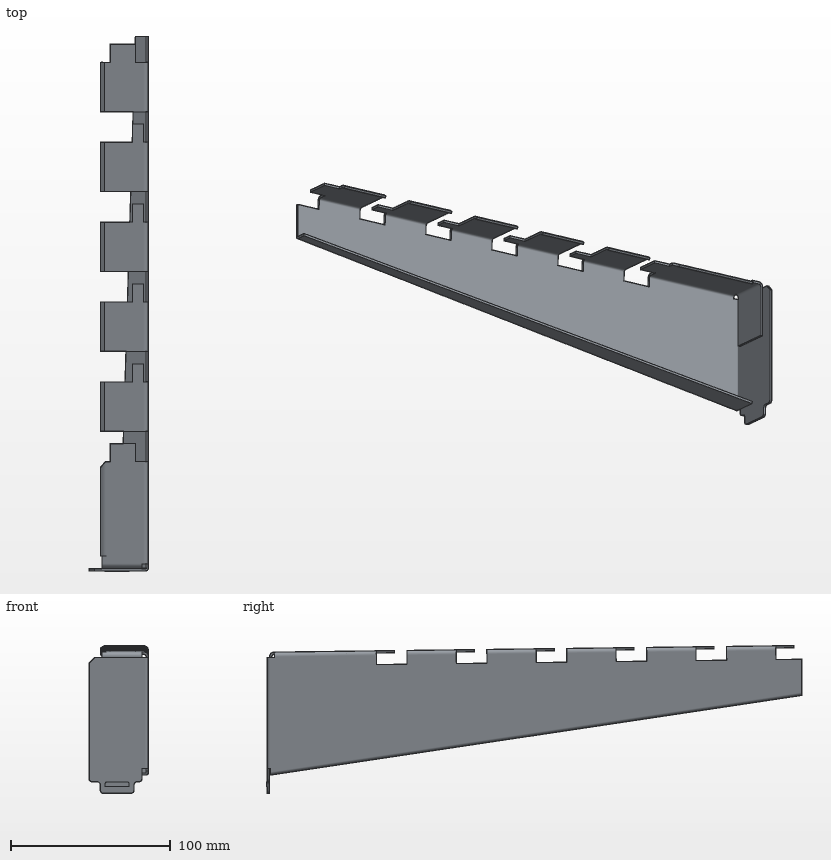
import cadquery as cq
import math

SHEET = 1.5
OVERALL_X = 37.2
ARM_END_Y = 334.9
OVERALL_Z = 92.56

TOP_BEND = 3.0
SIDE_BEND = 2.0
BOTTOM_BEND = 1.7

FOLD_OVERLAP = 1.0

BEAD_HEIGHT = 0.25
PLATE_FRONT_Y = BEAD_HEIGHT
PLATE_BACK_Y = PLATE_FRONT_Y + SHEET
PLATE_TOP_Z = 85.1
PLATE_BOTTOM_Z = 7.2
PLATE_CORNER_CUT = 3.5
PLATE_EDGE_RADIUS = 2.0
PLATE_RELIEF_X = -4.0
PLATE_RELIEF_Z = 15.5
PLATE_CENTRE_X = -19.6
FOOT_WIDTH = 21.2
BEAD_WIDTH = 15.0
BEAD_BOTTOM_Z = 4.2
BEAD_CORNER_RADIUS = 1.3
PLATE_HOLE_DIAMETER = 10.8
PLATE_HOLE_Z = 30.6
PLATE_SLOT_Z = 69.5
PLATE_SLOT_LENGTH = 19.2

FLANGE_RISE = 0.72
TAB_COUNT = 6
TAB_PITCH = 50.0
LAST_TAB_START_Y = 68.7
TAB_LENGTH = 31.0
NOTCH_DEPTH = 8.6
TONGUE_LENGTH = 11.3
OUTER_TONGUE_X = (-24.0, -8.0)
INNER_TONGUE_X = (-10.0, -TOP_BEND)
FLANGE_EDGE_X = -29.2

LIP_ANGLE = 30.0
LIP_FOLD_X = -27.65
LIP_EDGE_X = -30.1
LIP_STRIP_X = LIP_FOLD_X + 2 * SHEET
LIP_BEND = 4.0
LAST_LIP_END_Y = 9.6
LIP_CORNER_CUT = (3.1, 3.6)

FLAP_X = (FLANGE_EDGE_X, -4.0)
FLAP_BOTTOM_Z = 53.3

BOTTOM_SLOPE = 0.15
BOTTOM_Z_AT_PLATE = 11.04
BOTTOM_END_Y = 2.4
BOTTOM_WIDTH_AT_PLATE = 18.3
BOTTOM_TAPER = 0.03

TAB_SLOT_X = -15.75
TAB_SLOT_WIDTH = 7.0
TAB_SLOT_LENGTH = 23.0
TAB_SLOT_INSET = 3.2
BENT_SLOT_LEAD = 7.3
BENT_SLOT_SHIFT = 4.0
TIP_SLOT_LEG = 22.0
LAST_SLOT_LEG = 32.3
WEB_HOLE_DIAMETER = 8.0
WEB_HOLE_DEPTH = 20.4
WEB_HOLES_Y = (105.9, 305.5)

TIP_TAB_START_Y = LAST_TAB_START_Y + (TAB_COUNT - 1) * TAB_PITCH
TONGUE_END_Y = TIP_TAB_START_Y + TONGUE_LENGTH
RISE_ANGLE = math.radians(FLANGE_RISE)
RISE = math.tan(RISE_ANGLE)
FLANGE_TOP_AT_PLATE = OVERALL_Z - TONGUE_END_Y * RISE
FLAP_BEND_Y = PLATE_BACK_Y + TOP_BEND
FLANGE_END_Y = (FLAP_BEND_Y - TOP_BEND * math.sin(RISE_ANGLE)) / math.cos(RISE_ANGLE)
FLAP_BEND_Z = FLANGE_TOP_AT_PLATE + FLANGE_END_Y * math.sin(RISE_ANGLE) - TOP_BEND * math.cos(RISE_ANGLE)
BOTTOM_ANGLE = math.degrees(math.atan(BOTTOM_SLOPE))


def tilted(body):
    """Takes a body from the flange frame (flange top at Z = 0) to its place on the arm."""
    return body.rotate((0, 0, 0), (1, 0, 0), FLANGE_RISE).translate((0, 0, FLANGE_TOP_AT_PLATE))


def box(x_range, y_range, z_range):
    size = [abs(b - a) for a, b in (x_range, y_range, z_range)]
    low = [min(pair) for pair in (x_range, y_range, z_range)]
    return cq.Workplane("XY").box(*size, centered=False).translate(tuple(low))


def along_y(profile, y_start, y_end):
    """Extrudes an XZ profile between two Y positions."""
    return profile.extrude(y_start - y_end).translate((0, y_start, 0))


def corner_profile(plane, depth, reach, radius):
    """Bent sheet: outer corner at the origin, one leg towards -X, one leg downwards."""
    inner = max(radius - SHEET, 0)
    diagonal = math.sqrt(0.5)
    outer_mid = radius * (1 - diagonal)
    inner_mid = radius - inner * diagonal
    return (
        cq.Workplane(plane)
        .moveTo(-reach, 0)
        .lineTo(-radius, 0)
        .threePointArc((-outer_mid, -outer_mid), (0, -radius))
        .lineTo(0, -depth)
        .lineTo(-SHEET, -depth)
        .lineTo(-SHEET, -radius)
        .threePointArc((-inner_mid, -inner_mid), (-radius, -SHEET))
        .lineTo(-reach, -SHEET)
        .close()
    )


def lip_body(y_start, y_end, rounded):
    """Lip with the strip of flange it hangs from, with a sharp or a rounded fold."""
    angle = math.radians(LIP_ANGLE)
    run = LIP_FOLD_X - LIP_EDGE_X
    drop = run * math.tan(angle)
    inner_shift = SHEET * math.tan(angle / 2)
    tip_in = (LIP_EDGE_X + SHEET * math.sin(angle), -drop - SHEET * math.cos(angle))
    outline = cq.Workplane("XZ").moveTo(LIP_STRIP_X, 0)
    if not rounded:
        outline = outline.lineTo(LIP_FOLD_X, 0).lineTo(LIP_EDGE_X, -drop).lineTo(*tip_in)
        outline = outline.lineTo(LIP_FOLD_X + inner_shift, -SHEET)
    else:
        tangent_x = LIP_FOLD_X + LIP_BEND * math.tan(angle / 2)

        def on_arc(radius, turn):
            return (tangent_x - radius * math.sin(turn), radius * math.cos(turn) - LIP_BEND)

        inner = LIP_BEND - SHEET
        outline = outline.lineTo(tangent_x, 0)
        outline = outline.threePointArc(on_arc(LIP_BEND, angle / 2), on_arc(LIP_BEND, angle))
        outline = outline.lineTo(LIP_EDGE_X, -drop).lineTo(*tip_in).lineTo(*on_arc(inner, angle))
        outline = outline.threePointArc(on_arc(inner, angle / 2), on_arc(inner, 0))
    outline = outline.lineTo(LIP_STRIP_X, -SHEET).close()
    return along_y(outline, y_start, y_end)


def tab_starts():
    return [LAST_TAB_START_Y + index * TAB_PITCH for index in range(TAB_COUNT)]


def upper_arm():
    """Web and tabbed top flange with lips and tongues, in the flange frame."""
    profile = corner_profile("XZ", OVERALL_Z, -LIP_STRIP_X, TOP_BEND)
    body = along_y(profile, FLANGE_END_Y, ARM_END_Y + SHEET)
    for start in tab_starts():
        gap_end = start + TAB_PITCH - TAB_LENGTH
        body = body.cut(box((-OVERALL_X, SHEET), (start, gap_end), (-NOTCH_DEPTH, SHEET)))
    for start in tab_starts():
        outer = start in (LAST_TAB_START_Y, TIP_TAB_START_Y)
        tongue_x = OUTER_TONGUE_X if outer else INNER_TONGUE_X
        tongue_y = (start - SHEET, start + TONGUE_LENGTH)
        body = body.union(box(tongue_x, tongue_y, (-SHEET, 0)))
        if start == LAST_TAB_START_Y:
            lip = lip_body(LAST_LIP_END_Y, start, rounded=True).cut(lip_corner(start))
        else:
            lip = lip_body(start - TAB_LENGTH, start, rounded=False)
        body = body.union(lip)
    plain_edge = box((FLANGE_EDGE_X, LIP_STRIP_X), (FLANGE_END_Y, LAST_LIP_END_Y), (-SHEET, 0))
    return body.union(plain_edge)


def lip_corner(start):
    """Corner cut off the tip-side end of the last lip."""
    across, along = LIP_CORNER_CUT
    return (
        cq.Workplane("XY")
        .polyline([(LIP_EDGE_X, start), (LIP_EDGE_X + across, start), (LIP_EDGE_X, start - along)])
        .close()
        .extrude(OVERALL_X, both=True)
    )


def web_foot():
    """Lower end strip of the web, from under the top flange to the fold at the wall plate."""
    fold_y = PLATE_FRONT_Y + SIDE_BEND
    return box((-SHEET, 0), (fold_y, FLANGE_END_Y + TOP_BEND), (0, PLATE_TOP_Z))


def arm_space():
    """Space above the fold of the bottom flange and up to the tip of the arm."""
    fold_height = BOTTOM_BEND / math.cos(math.radians(BOTTOM_ANGLE))
    low = BOTTOM_Z_AT_PLATE + fold_height
    outline = [
        (0, low),
        (ARM_END_Y, low + ARM_END_Y * BOTTOM_SLOPE),
        (ARM_END_Y, 2 * OVERALL_Z),
        (0, 2 * OVERALL_Z),
    ]
    return cq.Workplane("YZ").polyline(outline).close().extrude(OVERALL_X, both=True)


def bottom_flange():
    """Tapered bottom flange and its fold, cut square to its own slope at the plate end."""
    profile = corner_profile("XZ", BOTTOM_BEND + FOLD_OVERLAP, OVERALL_X, BOTTOM_BEND)
    body = along_y(profile, 0, 2 * ARM_END_Y).mirror("XY")
    body = body.rotate((0, 0, 0), (1, 0, 0), BOTTOM_ANGLE)
    body = body.translate((0, BOTTOM_END_Y, BOTTOM_Z_AT_PLATE + BOTTOM_END_Y * BOTTOM_SLOPE))
    width_at_tip = BOTTOM_WIDTH_AT_PLATE - ARM_END_Y * BOTTOM_TAPER
    plan = [(SHEET, 0), (-BOTTOM_WIDTH_AT_PLATE, 0), (-width_at_tip, ARM_END_Y), (SHEET, ARM_END_Y)]
    return body.intersect(cq.Workplane("XY").polyline(plan).close().extrude(OVERALL_Z))


def wall_plate():
    """Plate with a cut top corner, a foot, a bead, and the fold that joins it to the web."""
    left = -OVERALL_X
    foot_left = PLATE_CENTRE_X - FOOT_WIDTH / 2
    foot_right = PLATE_CENTRE_X + FOOT_WIDTH / 2
    outline = [
        (left, PLATE_BOTTOM_Z),
        (left, PLATE_TOP_Z - PLATE_CORNER_CUT),
        (left + PLATE_CORNER_CUT, PLATE_TOP_Z),
        (PLATE_RELIEF_X, PLATE_TOP_Z),
        (PLATE_RELIEF_X, PLATE_BOTTOM_Z),
        (foot_right, PLATE_BOTTOM_Z),
        (foot_right, 0),
        (foot_left, 0),
        (foot_left, PLATE_BOTTOM_Z),
    ]
    plate = cq.Workplane("XZ").polyline(outline).close().extrude(-SHEET)
    lower_edges = cq.selectors.BoxSelector(
        (left - SHEET, -SHEET, -SHEET), (SHEET, 2 * SHEET, PLATE_BOTTOM_Z + SHEET)
    )
    plate = plate.edges("|Y").edges(lower_edges).fillet(PLATE_EDGE_RADIUS)
    plate = plate.translate((0, PLATE_FRONT_Y, 0))
    fold = (
        corner_profile("XY", SIDE_BEND + FOLD_OVERLAP, -PLATE_RELIEF_X, SIDE_BEND)
        .extrude(PLATE_TOP_Z - PLATE_RELIEF_Z)
        .mirror("XZ")
        .translate((0, PLATE_FRONT_Y, PLATE_RELIEF_Z))
    )
    return plate.union(fold).union(bead())


def bead():
    """Low bead across the top of the foot, with rounded upper corners."""
    height = PLATE_BOTTOM_Z - BEAD_BOTTOM_Z
    return (
        cq.Workplane("XY")
        .box(BEAD_WIDTH, PLATE_BACK_Y, height, centered=(True, False, False))
        .edges("|Y and >Z")
        .fillet(BEAD_CORNER_RADIUS)
        .translate((PLATE_CENTRE_X, 0, BEAD_BOTTOM_Z))
    )


def end_flap():
    """Flap folded down from the top flange against the back of the wall plate."""
    inner = TOP_BEND - SHEET
    start_turn = math.pi / 2 + RISE_ANGLE
    middle_turn = (start_turn + math.pi) / 2

    def on_arc(radius, turn):
        return (FLAP_BEND_Y + radius * math.cos(turn), FLAP_BEND_Z + radius * math.sin(turn))

    return (
        cq.Workplane("YZ", origin=(FLAP_X[0], 0, 0))
        .moveTo(*on_arc(TOP_BEND, start_turn))
        .threePointArc(on_arc(TOP_BEND, middle_turn), on_arc(TOP_BEND, math.pi))
        .lineTo(PLATE_BACK_Y, FLAP_BOTTOM_Z)
        .lineTo(PLATE_BACK_Y + SHEET, FLAP_BOTTOM_Z)
        .lineTo(*on_arc(inner, math.pi))
        .threePointArc(on_arc(inner, middle_turn), on_arc(inner, start_turn))
        .close()
        .extrude(FLAP_X[1] - FLAP_X[0])
    )


def slot_cutter(path):
    """Slot in the top flange that follows a path of centre points."""
    radius = TAB_SLOT_WIDTH / 2
    cutter = cq.Workplane("XY").pushPoints(path).circle(radius).extrude(SHEET)
    for (x1, y1), (x2, y2) in zip(path, path[1:]):
        length = math.hypot(x2 - x1, y2 - y1)
        turn = math.degrees(math.atan2(y2 - y1, x2 - x1))
        leg = cq.Workplane("XY").box(length, TAB_SLOT_WIDTH, SHEET, centered=(False, True, False))
        cutter = cutter.union(leg.rotate((0, 0, 0), (0, 0, 1), turn).translate((x1, y1, 0)))
    return tilted(cutter.translate((0, 0, -SHEET)))


def tab_slots():
    """Straight slots in the middle tabs, bent slots in the two outer tabs."""
    radius = TAB_SLOT_WIDTH / 2
    cutters = []
    for start in tab_starts():
        if start in (LAST_TAB_START_Y, TIP_TAB_START_Y):
            leg = LAST_SLOT_LEG if start == LAST_TAB_START_Y else TIP_SLOT_LEG
            top = start + BENT_SLOT_LEAD - radius
            elbow = top - leg
            end = (TAB_SLOT_X - BENT_SLOT_SHIFT, elbow - BENT_SLOT_SHIFT)
            path = [(TAB_SLOT_X, top), (TAB_SLOT_X, elbow), end]
        else:
            top = start - TAB_SLOT_INSET - radius
            path = [(TAB_SLOT_X, top), (TAB_SLOT_X, top - TAB_SLOT_LENGTH + TAB_SLOT_WIDTH)]
        cutters.append(slot_cutter(path))
    return cutters


def web_holes():
    cutters = []
    for y in WEB_HOLES_Y:
        z = FLANGE_TOP_AT_PLATE + y * RISE - WEB_HOLE_DEPTH
        hole = cq.Workplane("YZ").center(y, z).circle(WEB_HOLE_DIAMETER / 2).extrude(-SHEET)
        cutters.append(hole)
    return cutters


def plate_openings():
    plane = cq.Workplane("XZ", origin=(PLATE_CENTRE_X, PLATE_FRONT_Y, 0))
    hole = plane.center(0, PLATE_HOLE_Z).circle(PLATE_HOLE_DIAMETER / 2).extrude(-SHEET)
    slot = plane.center(0, PLATE_SLOT_Z).slot2D(PLATE_SLOT_LENGTH, PLATE_HOLE_DIAMETER, 90)
    slot = slot.extrude(-SHEET)
    return [hole, slot]


def mark_opening(body, opening):
    """Outlines an opening on both sheet faces; its material stays in place."""
    knockout = body.intersect(opening, clean=False)
    return body.cut(opening, clean=False).union(knockout, clean=False)


result = tilted(upper_arm()).union(web_foot()).intersect(arm_space())
result = result.union(bottom_flange()).union(wall_plate()).union(end_flap())
for opening in tab_slots() + web_holes() + plate_openings():
    result = mark_opening(result, opening)
result = cq.Workplane(result.solids().val())